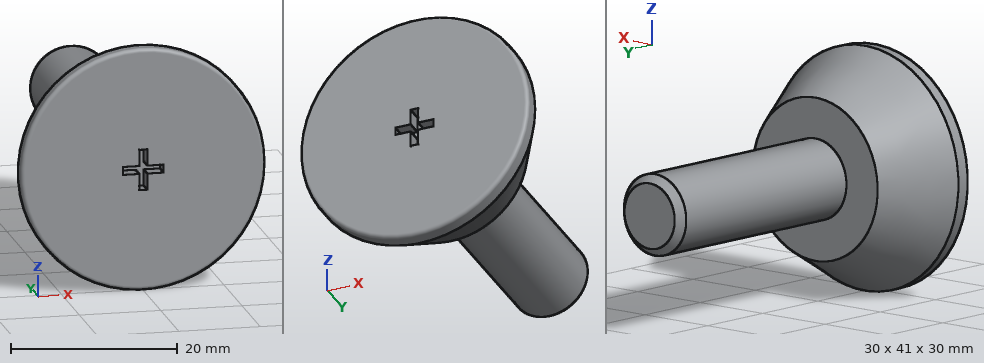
import cadquery as cq

total_length = 41.0
head_diameter = 30.0
shank_diameter = 10.0
shank_length = 30.0
shoulder_diameter = 2 * shank_diameter
rim_height = 2.0
rim_fillet = 0.5
tip_chamfer = 1.0
cross_span = shank_diameter / 2
cross_width = 1.0
cross_depth = 2.0

head_height = total_length - shank_length


def make_head():
    """Short cylindrical rim with a rounded front edge, tapering back to the shoulder."""
    half_profile = (
        cq.Workplane("XY")
        .lineTo(head_diameter / 2, 0)
        .lineTo(head_diameter / 2, rim_height)
        .lineTo(shoulder_diameter / 2, head_height)
        .lineTo(0, head_height)
        .close()
    )
    head = half_profile.revolve(360, (0, 0, 0), (0, 1, 0))
    return head.faces("<Y").edges().fillet(rim_fillet)


def make_shank():
    """Plain round shank with a chamfered tip."""
    base = cq.Workplane("XZ", origin=(0, head_height, 0))
    shank = base.circle(shank_diameter / 2).extrude(-shank_length)
    return shank.faces(">Y").edges().chamfer(tip_chamfer)


def make_cross_recess():
    """Two crossed slots sunk into the head face."""
    face = cq.Workplane("XZ")
    level_slot = face.rect(cross_span, cross_width).extrude(-cross_depth)
    upright_slot = face.rect(cross_width, cross_span).extrude(-cross_depth)
    return level_slot.union(upright_slot)


result = make_head().union(make_shank()).cut(make_cross_recess())